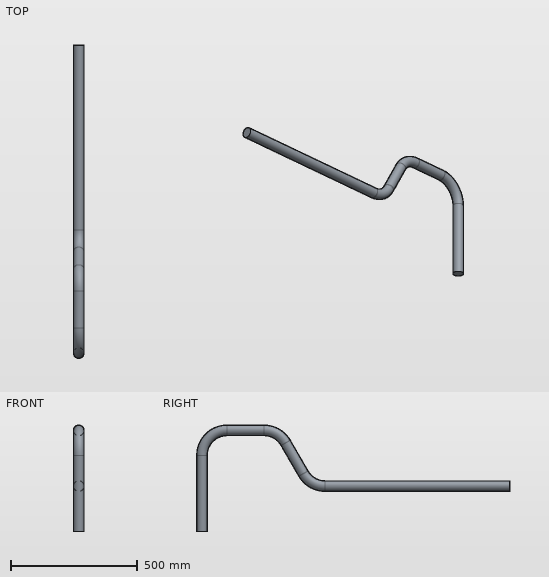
import cadquery as cq
import math

overall_length = 1242.0
overall_height = 422.0
bar_diameter = 42.0
bend_radius = 99.0
flat_length = 147.0
drop = 221.0
slope_angle = 60.0

bar_radius = bar_diameter / 2
slope = math.radians(slope_angle)
slope_length = (drop - 2 * bend_radius * (1 - math.cos(slope))) / math.sin(slope)

top_z = overall_height - bar_radius
long_leg_z = top_z - drop
long_leg_end_y = overall_length - bar_radius
flat_start_y = bend_radius
flat_end_y = flat_start_y + flat_length


def arc_point(center, angle):
    """Point (y, z) on a bend's centreline, with the angle measured from +Y."""
    y, z = center
    return (y + bend_radius * math.cos(angle), z + bend_radius * math.sin(angle))


corner_center = (bend_radius, top_z - bend_radius)
crest_center = (flat_end_y, top_z - bend_radius)
valley_center_y = flat_end_y + 2 * bend_radius * math.sin(slope) + slope_length * math.cos(slope)
valley_center = (valley_center_y, long_leg_z + bend_radius)

up = math.pi / 2
down = -math.pi / 2

centerline = (
    cq.Workplane("YZ")
    .moveTo(0, 0)
    .lineTo(*arc_point(corner_center, math.pi))
    .threePointArc(arc_point(corner_center, math.pi - up / 2), arc_point(corner_center, up))
    .lineTo(*arc_point(crest_center, up))
    .threePointArc(arc_point(crest_center, up - slope / 2), arc_point(crest_center, up - slope))
    .lineTo(*arc_point(valley_center, down - slope))
    .threePointArc(arc_point(valley_center, down - slope / 2), arc_point(valley_center, down))
    .lineTo(long_leg_end_y, long_leg_z)
)

result = cq.Workplane("XY").circle(bar_radius).sweep(centerline)